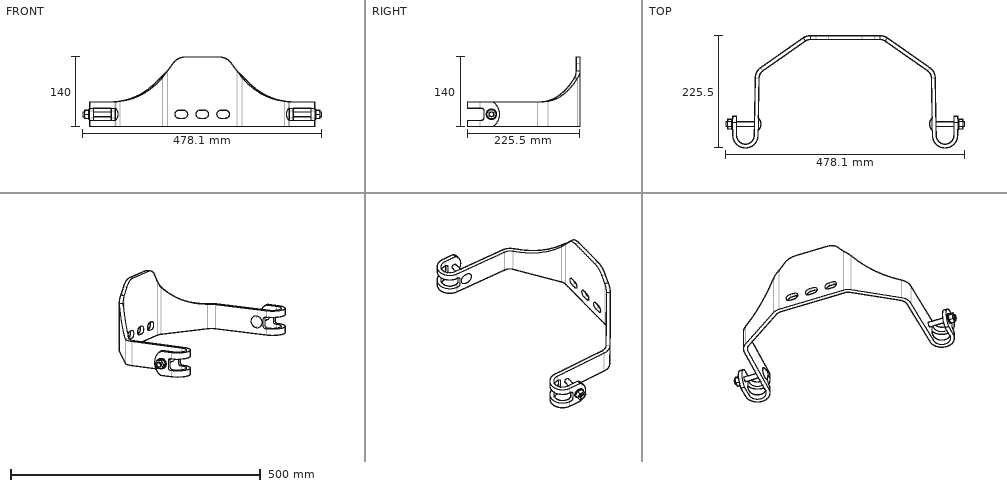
import cadquery as cq
import math

thickness = 8.0
bend_inner_radius = 17.5
bend_outer_radius = bend_inner_radius + thickness
bend_mid_radius = bend_inner_radius + thickness / 2

arm_height = 50.0
panel_height = 140.0
panel_back_y = 200.0

hook_x = 200.0
arm_lean = 1.0
wing_angle = 35.0
shoulder_y = 114.8

top_half_width = 34.0
corner_radius = 30.0
sweep_end_angle = 56.4

slot_count = 3
slot_pitch = 42.0
slot_length = 25.0
slot_width = 16.0
slot_z = 25.0

window_height = 24.0
window_end_y = 7.5
window_corner_radius = 5.0
tongue_end_y = 38.7
tongue_radius = 30.0

bolt_y = 22.5
bolt_z = arm_height / 2
shank_diameter = 10.0
bolt_tip_x = 239.04
tip_chamfer = 0.5
head_diameter = 24.65
head_height = 5.4
washer_diameter = 21.0
washer_thickness = 2.0
washer_chamfer = 1.0
nut_across_flats = 17.0
nut_height = 8.4

lean = math.radians(arm_lean)
wing = math.radians(wing_angle)
axis_gap = bend_outer_radius + bend_inner_radius

panel_bend_y = panel_back_y - bend_outer_radius
wing_length = (panel_bend_y - shoulder_y) / math.sin(wing)
arm_length = (shoulder_y + axis_gap * math.sin(lean)) / math.cos(lean)
shoulder_x = hook_x - axis_gap * math.cos(lean) - arm_length * math.sin(lean)
panel_bend_x = shoulder_x - wing_length * math.cos(wing)

panel_normal = math.pi / 2
wing_normal = math.pi / 2 - wing
arm_normal = -lean

wing_start = panel_bend_x + bend_mid_radius * (panel_normal - wing_normal)
wing_end = wing_start + wing_length
corner_end = top_half_width + corner_radius * math.sin(math.radians(sweep_end_angle))
corner_drop = corner_radius * (1 - math.cos(math.radians(sweep_end_angle)))
sweep_drop = panel_height - corner_drop - arm_height
sweep_radius = sweep_drop / (1 - math.cos(math.radians(sweep_end_angle)))
sweep_end = corner_end + sweep_radius * math.sin(math.radians(sweep_end_angle))


def edge_height(distance):
    """Height of the upper edge at a distance along the unfolded sheet."""
    if distance <= top_half_width:
        return panel_height
    if distance <= corner_end:
        run = distance - top_half_width
        return panel_height - corner_radius + math.sqrt(corner_radius**2 - run**2)
    if distance <= sweep_end:
        run = sweep_end - distance
        return arm_height + sweep_radius - math.sqrt(sweep_radius**2 - run**2)
    return arm_height


def polar(x, y, radius, angle):
    """Point at a radius and angle around (x, y)."""
    return (x + radius * math.cos(angle), y + radius * math.sin(angle))


def bend_blank(x, y, start, end, height):
    """Bent strip around a vertical axis between two normal angles."""
    middle = (start + end) / 2
    return (
        cq.Workplane("XY")
        .moveTo(*polar(x, y, bend_inner_radius, start))
        .lineTo(*polar(x, y, bend_outer_radius, start))
        .threePointArc(polar(x, y, bend_outer_radius, middle), polar(x, y, bend_outer_radius, end))
        .lineTo(*polar(x, y, bend_inner_radius, end))
        .threePointArc(polar(x, y, bend_inner_radius, middle), polar(x, y, bend_inner_radius, start))
        .close()
        .extrude(height)
    )


def trimmed_bend(x, y, start, end, start_distance):
    """Bend whose upper edge follows the unfolded edge curve."""
    margin = 2.0
    overrun = 0.05
    steps = 12

    def edge_curve(radius):
        points = []
        for i in range(steps + 1):
            angle = start + overrun + (end - start - 2 * overrun) * i / steps
            distance = start_distance + bend_mid_radius * (start - angle)
            points.append(cq.Vector(*polar(x, y, radius, angle), edge_height(distance)))
        return cq.Edge.makeSpline(points)

    trim = cq.Face.makeRuledSurface(
        edge_curve(bend_inner_radius - margin), edge_curve(bend_outer_radius + margin)
    )
    blank = bend_blank(x, y, start, end, panel_height)
    return blank.split(cq.Workplane(trim)).solids("<Z")


def make_panel():
    """Back panel with rounded upper corners and a row of slots."""
    corner_mid = top_half_width + corner_radius * math.sin(math.radians(sweep_end_angle / 2))
    sweep_mid = (corner_end + panel_bend_x) / 2
    panel = (
        cq.Workplane("XZ", origin=(0, panel_back_y, 0))
        .lineTo(panel_bend_x, 0)
        .lineTo(panel_bend_x, edge_height(panel_bend_x))
        .threePointArc((sweep_mid, edge_height(sweep_mid)), (corner_end, edge_height(corner_end)))
        .threePointArc((corner_mid, edge_height(corner_mid)), (top_half_width, panel_height))
        .lineTo(0, panel_height)
        .close()
        .extrude(thickness)
    )
    panel = panel.union(panel.mirror("YZ"))
    slots = (
        cq.Workplane("XZ", origin=(0, panel_back_y, slot_z))
        .rarray(slot_pitch, 1, slot_count, 1)
        .slot2D(slot_length, slot_width)
        .extrude(thickness)
    )
    return panel.cut(slots)


def make_wing():
    """Flat sloping sheet between the panel bend and the shoulder bend."""
    start = polar(panel_bend_x, panel_bend_y, bend_inner_radius, wing_normal)
    plane = cq.Plane(
        origin=(*start, 0),
        xDir=(math.cos(wing), -math.sin(wing), 0),
        normal=(-math.cos(wing_normal), -math.sin(wing_normal), 0),
    )
    return (
        cq.Workplane(plane)
        .lineTo(wing_length, 0)
        .lineTo(wing_length, edge_height(wing_end))
        .threePointArc(
            (wing_length / 2, edge_height((wing_start + wing_end) / 2)), (0, edge_height(wing_start))
        )
        .close()
        .extrude(-thickness)
    )


def make_arm():
    """Leaning flat arm from the shoulder bend to the hook bend."""
    return (
        cq.Workplane("XY")
        .moveTo(*polar(shoulder_x, shoulder_y, bend_inner_radius, arm_normal))
        .lineTo(*polar(shoulder_x, shoulder_y, bend_outer_radius, arm_normal))
        .lineTo(*polar(hook_x, 0, bend_inner_radius, arm_normal + math.pi))
        .lineTo(*polar(hook_x, 0, bend_outer_radius, arm_normal + math.pi))
        .close()
        .extrude(arm_height)
    )


def make_tongue():
    """Free leg of the hook with an arched end."""
    side = math.sqrt(tongue_radius**2 - (arm_height / 2) ** 2)
    corner_y = tongue_end_y - tongue_radius + side
    return (
        cq.Workplane("YZ", origin=(hook_x + bend_inner_radius, 0, 0))
        .lineTo(corner_y, 0)
        .threePointArc((tongue_end_y, arm_height / 2), (corner_y, arm_height))
        .lineTo(0, arm_height)
        .close()
        .extrude(thickness)
    )


def make_window():
    """Cutter for the opening that runs around the hook."""
    width = 2 * (bend_outer_radius + thickness)
    length = 2 * (window_end_y + bend_outer_radius)
    return (
        cq.Workplane("XY", origin=(hook_x, window_end_y - length / 2, arm_height / 2))
        .box(width, length, window_height)
        .edges("|X")
        .fillet(window_corner_radius)
    )


def make_bolt():
    """Domed-head bolt; the head seats on the inboard face of the arm."""
    seat_x = hook_x - bend_outer_radius * math.cos(lean) - bolt_y * math.sin(lean)
    radius = head_diameter / 2
    dome_radius = (radius**2 + head_height**2) / (2 * head_height)
    mid = radius / 2
    mid_x = seat_x - head_height + dome_radius - math.sqrt(dome_radius**2 - mid**2)
    shank_radius = shank_diameter / 2
    profile = (
        cq.Workplane("XY")
        .moveTo(seat_x - head_height, 0)
        .threePointArc((mid_x, mid), (seat_x, radius))
        .lineTo(seat_x, shank_radius)
        .lineTo(bolt_tip_x - tip_chamfer, shank_radius)
        .lineTo(bolt_tip_x, shank_radius - tip_chamfer)
        .lineTo(bolt_tip_x, 0)
        .close()
    )
    return profile.revolve(360, (0, 0, 0), (1, 0, 0)).translate((0, bolt_y, bolt_z))


def make_washer():
    """Plain washer with its outer rim chamfered on the nut side."""
    seat_x = hook_x + bend_outer_radius
    return (
        cq.Workplane("YZ", origin=(seat_x, bolt_y, bolt_z))
        .circle(washer_diameter / 2)
        .extrude(washer_thickness)
        .faces(">X")
        .chamfer(washer_chamfer)
        .faces(">X")
        .workplane()
        .hole(shank_diameter)
    )


def make_nut():
    """Hexagon nut with two flats facing up and down."""
    seat_x = hook_x + bend_outer_radius + washer_thickness
    across_corners = nut_across_flats / math.cos(math.pi / 6)
    return (
        cq.Workplane("YZ", origin=(seat_x, bolt_y, bolt_z))
        .polygon(6, across_corners)
        .circle(shank_diameter / 2)
        .extrude(nut_height)
    )


def make_strap(bolts):
    """Complete bent strap, bored for the bolts."""
    half = make_wing()
    half = half.union(trimmed_bend(panel_bend_x, panel_bend_y, panel_normal, wing_normal, panel_bend_x))
    half = half.union(trimmed_bend(shoulder_x, shoulder_y, wing_normal, arm_normal, wing_end))
    half = half.union(make_arm())
    half = half.union(bend_blank(hook_x, 0, math.pi - lean, 2 * math.pi, arm_height))
    half = half.union(make_tongue())
    half = half.cut(make_window())
    strap = make_panel().union(half).union(half.mirror("YZ"))
    for bolt in bolts:
        strap = strap.cut(bolt)
    return strap


def both_sides(body):
    """A body and its copy on the other side of the strap."""
    return [body, body.mirror("YZ")]


bolts = both_sides(make_bolt())
washers = both_sides(make_washer())
nuts = both_sides(make_nut())
strap = make_strap(bolts)

fasteners = [body.val() for body in bolts + washers + nuts]
result = cq.Compound.makeCompound([strap.val(), *fasteners])